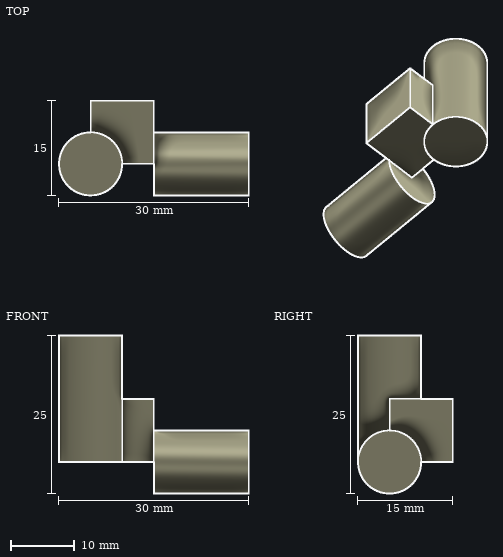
import cadquery as cq

overall_length = 30.0
bar_length = 15.0

post_radius = (overall_length - bar_length) / 3
post_diameter = 2 * post_radius
post_height = 2 * post_diameter
block_side = post_diameter
bar_radius = post_radius


def make_post():
    """Upright round post, standing on the origin."""
    return cq.Workplane("XY").circle(post_radius).extrude(post_height)


def make_block(post):
    """Cube with one vertical edge on the post's axis, hollowed to fit round the post."""
    cube = cq.Workplane("XY").box(block_side, block_side, block_side, centered=False)
    return cube.cut(post).solids()


def make_bar():
    """Round bar along X, with its axis at the post's foot and its end against the block."""
    return cq.Workplane("YZ", origin=(block_side, 0, 0)).circle(bar_radius).extrude(bar_length)


post = make_post()
block = make_block(post)
bar = make_bar()

result = cq.Compound.makeCompound([post.val(), block.val(), bar.val()])